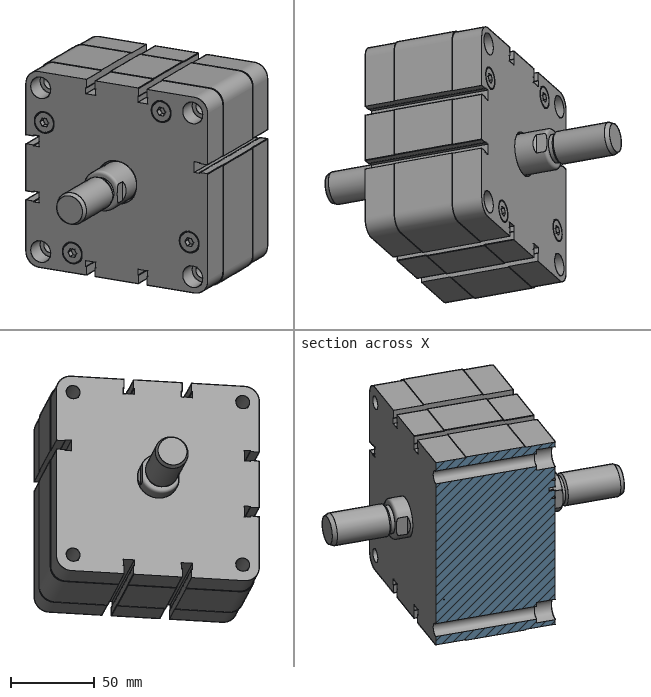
import cadquery as cq
import math

BARREL_WIDTH = 124.0
CAP_WIDTH = 123.2
BODY_LENGTH = 76.5
CAP_LENGTH = 19.25
CORNER_RADIUS = 9.0
OVERALL_LENGTH = 186.5
FRONT_FACE_Y = -BODY_LENGTH / 2
BACK_FACE_Y = BODY_LENGTH / 2
CUT_CLEARANCE = 1.0

SLOT_OFFSET = 17.65
SLOT_MOUTH_WIDTH = 5.6
SLOT_FLOOR_WIDTH = 6.7
SLOT_STEP_HEIGHT = 56.2
SLOT_EDGE_CHAMFER = 0.3
SLOT_FLOOR_HEIGHT = 52.5

ROD_DIAMETER = 25.0
THREAD_DIAMETER = 20.0
UNDERCUT_DIAMETER = 17.5
THREAD_END_LENGTH = 40.0
UNDERCUT_LENGTH = 3.7
ROD_STROKE = 10.0
TIP_DIAMETER = 17.5
TIP_CHAMFER_LENGTH = 2.8
SHOULDER_RADIUS = 1.8
FRONT_ROD_LENGTH = (OVERALL_LENGTH - BODY_LENGTH + ROD_STROKE) / 2
BACK_ROD_LENGTH = FRONT_ROD_LENGTH - ROD_STROKE

FLATS_WIDTH = 22.0
FLAT_LENGTH = 7.0

ROD_RECESS_DIAMETER = 27.0
ROD_RECESS_DEPTH = 2.0

MOUNT_HOLE_DIAMETER = 8.38
MOUNT_HOLE_OFFSET = 51.5
COUNTERBORE_DIAMETER = 13.5
COUNTERBORE_DEPTH = 12.0

SCREW_HEAD_DIAMETER = 12.5
SCREW_OFFSET_NEAR = 30.1
SCREW_OFFSET_FAR = 49.1
SCREW_GAP_DEPTH = 2.0
SOCKET_ACROSS_FLATS = 5.0
SOCKET_DEPTH = 4.0


def front_sketch(y):
    """XZ workplane at the given Y; negative extrusions go towards +Y, into the front face."""
    return cq.Workplane("XZ", origin=(0, y, 0))


def slot_cutter(block_width, mirrored, side_angle):
    """Slot right of centre in the top side (left if mirrored), turned about Y onto the wanted side."""
    surface = block_width / 2
    above = surface + CUT_CLEARANCE
    mouth_inner = SLOT_OFFSET - SLOT_MOUTH_WIDTH / 2
    mouth_outer = SLOT_OFFSET + SLOT_MOUTH_WIDTH / 2
    floor_inner = SLOT_OFFSET - SLOT_FLOOR_WIDTH / 2
    floor_outer = SLOT_OFFSET + SLOT_FLOOR_WIDTH / 2
    outline = [
        (mouth_outer, above),
        (mouth_outer, SLOT_STEP_HEIGHT),
        (floor_outer, SLOT_STEP_HEIGHT),
        (floor_outer, SLOT_FLOOR_HEIGHT),
        (floor_inner, SLOT_FLOOR_HEIGHT),
        (floor_inner, SLOT_STEP_HEIGHT),
        (mouth_inner, SLOT_STEP_HEIGHT),
        (mouth_inner, surface - SLOT_EDGE_CHAMFER),
        (mouth_inner - SLOT_EDGE_CHAMFER, surface),
        (mouth_inner - SLOT_EDGE_CHAMFER, above),
    ]
    cutter = front_sketch(0).polyline(outline).close().extrude(BODY_LENGTH, both=True)
    if mirrored:
        cutter = cutter.mirror("YZ")
    return cutter.rotate((0, 0, 0), (0, 1, 0), side_angle)


def slotted_block(width, length):
    """Square block with two slots on the top, bottom and -X sides, only the upper one on the +X side."""
    block = cq.Workplane("XY").box(width, length, width).edges("|Y").fillet(CORNER_RADIUS)
    for side_angle in (0, 180, -90):
        for mirrored in (False, True):
            block = block.cut(slot_cutter(width, mirrored, side_angle))
    return block.cut(slot_cutter(width, True, 90))


def body_block():
    """Cap-width core over the full length, with the wider barrel around its middle."""
    caps = slotted_block(CAP_WIDTH, BODY_LENGTH)
    barrel = slotted_block(BARREL_WIDTH, BODY_LENGTH - 2 * CAP_LENGTH)
    return caps.union(barrel)


def cut_mounting_holes(body):
    spacing = 2 * MOUNT_HOLE_OFFSET
    through_holes = (
        front_sketch(0).rect(spacing, spacing, forConstruction=True).vertices()
        .circle(MOUNT_HOLE_DIAMETER / 2).extrude(BODY_LENGTH, both=True)
    )
    counterbores = (
        front_sketch(FRONT_FACE_Y).rect(spacing, spacing, forConstruction=True).vertices()
        .circle(COUNTERBORE_DIAMETER / 2).extrude(-COUNTERBORE_DEPTH)
    )
    return body.cut(through_holes).cut(counterbores)


def cut_screws(body):
    """Four flush screw heads, each with a ring gap around it and a hex socket."""
    centres = [
        (SCREW_OFFSET_NEAR, SCREW_OFFSET_FAR),
        (-SCREW_OFFSET_FAR, SCREW_OFFSET_NEAR),
        (-SCREW_OFFSET_NEAR, -SCREW_OFFSET_FAR),
        (SCREW_OFFSET_FAR, -SCREW_OFFSET_NEAR),
    ]
    gaps = (
        front_sketch(FRONT_FACE_Y).pushPoints(centres)
        .circle(COUNTERBORE_DIAMETER / 2).circle(SCREW_HEAD_DIAMETER / 2)
        .extrude(-SCREW_GAP_DEPTH)
    )
    across_corners = SOCKET_ACROSS_FLATS / math.cos(math.radians(30))
    sockets = (
        front_sketch(FRONT_FACE_Y).pushPoints(centres)
        .polygon(6, across_corners).extrude(-SOCKET_DEPTH)
    )
    return body.cut(gaps).cut(sockets)


def cut_rod_recess(body):
    recess = front_sketch(FRONT_FACE_Y).circle(ROD_RECESS_DIAMETER / 2).extrude(-ROD_RECESS_DEPTH)
    return body.cut(recess)


def flat_cutter(shoulder):
    """Removes one side of a rod end that points to +Y, leaving a flat on +X with a 45 degree ramp."""
    flat_x = FLATS_WIDTH / 2
    depth = ROD_DIAMETER / 2 - flat_x + CUT_CLEARANCE
    ramp_y = shoulder - FLAT_LENGTH
    outline = [
        (flat_x, shoulder),
        (flat_x, ramp_y),
        (flat_x + depth, ramp_y - depth),
        (flat_x + depth, shoulder),
    ]
    return cq.Workplane("XY").polyline(outline).close().extrude(ROD_DIAMETER, both=True)


def rod_end(tip):
    """Half of the rod, from Y = 0 to the threaded tip at the given Y."""
    shoulder = tip - THREAD_END_LENGTH
    rod_radius = ROD_DIAMETER / 2
    thread_radius = THREAD_DIAMETER / 2
    undercut_radius = UNDERCUT_DIAMETER / 2
    run_out = thread_radius - undercut_radius
    thread_start = shoulder + UNDERCUT_LENGTH
    arc_inset = SHOULDER_RADIUS * (1 - math.cos(math.radians(45)))
    profile = (
        cq.Workplane("XY")
        .lineTo(rod_radius, 0)
        .lineTo(rod_radius, shoulder - SHOULDER_RADIUS)
        .threePointArc(
            (rod_radius - arc_inset, shoulder - arc_inset),
            (rod_radius - SHOULDER_RADIUS, shoulder),
        )
        .lineTo(undercut_radius, shoulder)
        .lineTo(undercut_radius, thread_start - run_out)
        .lineTo(thread_radius, thread_start)
        .lineTo(thread_radius, tip - TIP_CHAMFER_LENGTH)
        .lineTo(TIP_DIAMETER / 2, tip)
        .lineTo(0, tip)
        .close()
    )
    rod = profile.revolve(360, (0, 0, 0), (0, 1, 0))
    flat = flat_cutter(shoulder)
    return rod.cut(flat).cut(flat.mirror("YZ"))


def piston_rod():
    back = rod_end(BACK_FACE_Y + BACK_ROD_LENGTH)
    front = rod_end(-FRONT_FACE_Y + FRONT_ROD_LENGTH).mirror("XZ")
    return back.union(front)


body = cut_mounting_holes(body_block())
body = cut_screws(body)
body = cut_rod_recess(body)
result = body.union(piston_rod())